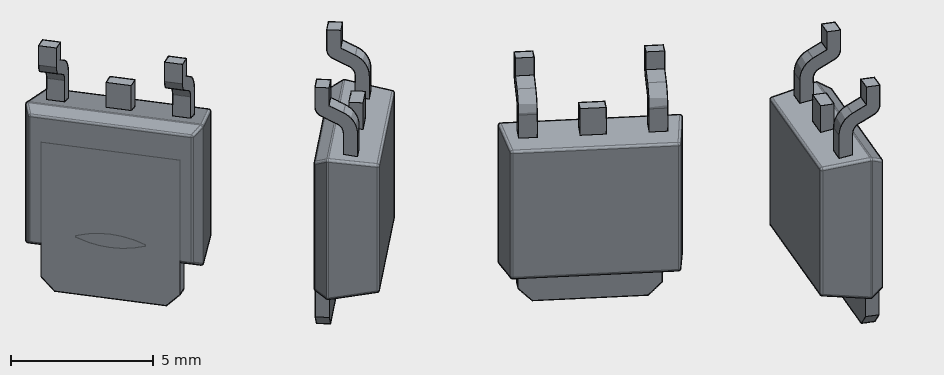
import math

import cadquery as cq


BODY_WIDTH = 6.5
BODY_HEIGHT = 5.5
BODY_BOTTOM = 1.5
BODY_DEPTH = 2.3
PARTING_Y = 0.5
FRONT_DRAFT = 27.0
BACK_DRAFT = 8.0
BODY_FILLET = 0.1

METAL_THICKNESS = 0.5
TAB_WIDTH = 5.08
TAB_HEIGHT = 5.75
TAB_CHAMFER = 0.5

LENS_WIDTH = 2.55
LENS_HEIGHT = 0.52
LENS_END_HEIGHT = 0.08
LENS_Z = 2.25

LEAD_WIDTH = 0.66
LEAD_SPACING = 4.6
LEAD_EXIT_Y = 1.0
LEAD_TOP = 9.5
LEAD_SLOPE = 26.5
LOWER_BEND_Z = 7.76
LOWER_BEND_RADIUS = 0.38
FOOT_BEND_RADIUS = 0.4
STUB_WIDTH = 0.92
STUB_TOP = 7.9
EMBED_DEPTH = 1.0

BODY_TOP = BODY_BOTTOM + BODY_HEIGHT
ROOT_Z = BODY_TOP - EMBED_DEPTH
LEAD_BACK_Y = LEAD_EXIT_Y + METAL_THICKNESS


def body_half(depth, draft):
    """Half of the body, tapering away from the parting plane by a signed depth."""
    return (
        cq.Workplane("XZ", origin=(0, PARTING_Y, BODY_BOTTOM + BODY_HEIGHT / 2))
        .rect(BODY_WIDTH, BODY_HEIGHT)
        .extrude(depth, taper=draft)
    )


def make_body():
    front = body_half(PARTING_Y, FRONT_DRAFT)
    back = body_half(PARTING_Y - BODY_DEPTH, BACK_DRAFT)
    return front.union(back).edges().fillet(BODY_FILLET)


def make_tab():
    return (
        cq.Workplane("XY")
        .box(TAB_WIDTH, METAL_THICKNESS, TAB_HEIGHT, centered=(True, False, False))
        .edges("|Y and <Z")
        .chamfer(TAB_CHAMFER)
    )


def make_lens():
    tip_x = LENS_WIDTH / 2
    half_height = LENS_HEIGHT / 2
    tip_radius = LENS_END_HEIGHT / 2
    arc_end_x = tip_x - tip_radius
    return (
        cq.Workplane("XZ", origin=(0, 0, LENS_Z))
        .moveTo(-arc_end_x, tip_radius)
        .threePointArc((0, half_height), (arc_end_x, tip_radius))
        .threePointArc((tip_x, 0), (arc_end_x, -tip_radius))
        .threePointArc((0, -half_height), (-arc_end_x, -tip_radius))
        .threePointArc((-tip_x, 0), (-arc_end_x, tip_radius))
        .close()
        .extrude(-METAL_THICKNESS)
    )


def polar(center, radius, angle):
    """Point in the YZ plane at an angle measured from +Y towards +Z."""
    turn = math.radians(angle)
    return center[0] + radius * math.cos(turn), center[1] + radius * math.sin(turn)


def make_lead(x_center):
    """Gull-wing lead: straight root, sloped middle and a foot on the mounting plane."""
    lower_center = (LEAD_EXIT_Y - LOWER_BEND_RADIUS, LOWER_BEND_Z)
    outer_radius = LOWER_BEND_RADIUS + METAL_THICKNESS
    slope_normal = 90 - LEAD_SLOPE
    inner_mid = polar(lower_center, LOWER_BEND_RADIUS, slope_normal / 2)
    inner_end = polar(lower_center, LOWER_BEND_RADIUS, slope_normal)
    outer_mid = polar(lower_center, outer_radius, slope_normal / 2)
    outer_end = polar(lower_center, outer_radius, slope_normal)

    slope = math.radians(LEAD_SLOPE)
    foot_start_y = FOOT_BEND_RADIUS * (1 - math.sin(slope))
    foot_start_z = inner_end[1] + (inner_end[0] - foot_start_y) * math.tan(slope)
    foot_center = (FOOT_BEND_RADIUS, foot_start_z + FOOT_BEND_RADIUS * math.cos(slope))
    foot_mid = polar(foot_center, FOOT_BEND_RADIUS, 180 + slope_normal / 2)
    inside_corner_z = outer_end[1] + (outer_end[0] - METAL_THICKNESS) * math.tan(slope)

    return (
        cq.Workplane("YZ", origin=(x_center - LEAD_WIDTH / 2, 0, 0))
        .moveTo(LEAD_EXIT_Y, ROOT_Z)
        .lineTo(LEAD_EXIT_Y, LOWER_BEND_Z)
        .threePointArc(inner_mid, inner_end)
        .lineTo(foot_start_y, foot_start_z)
        .threePointArc(foot_mid, (0, foot_center[1]))
        .lineTo(0, LEAD_TOP)
        .lineTo(METAL_THICKNESS, LEAD_TOP)
        .lineTo(METAL_THICKNESS, inside_corner_z)
        .lineTo(*outer_end)
        .threePointArc(outer_mid, (LEAD_BACK_Y, LOWER_BEND_Z))
        .lineTo(LEAD_BACK_Y, ROOT_Z)
        .close()
        .extrude(LEAD_WIDTH)
    )


def make_stub():
    """Cropped centre lead."""
    return cq.Workplane("XY", origin=(0, LEAD_EXIT_Y, ROOT_Z)).box(
        STUB_WIDTH, METAL_THICKNESS, STUB_TOP - ROOT_Z, centered=(True, False, False)
    )


part = make_body().union(make_stub())
for side in (-1, 1):
    part = part.union(make_lead(side * LEAD_SPACING / 2))

for insert in (make_tab(), make_lens()):
    part = part.cut(insert, clean=False).union(insert, clean=False)

result = part